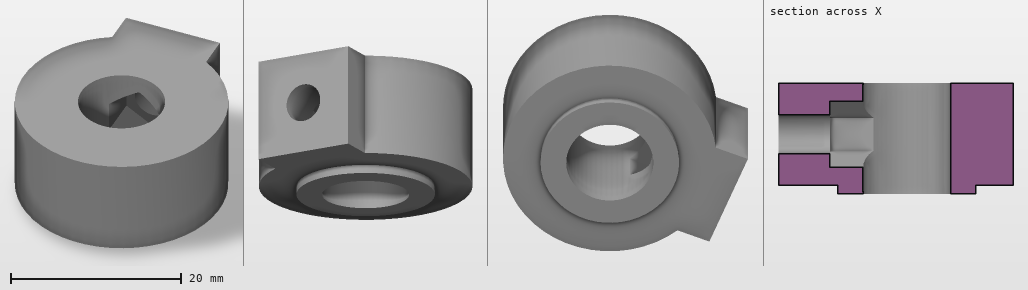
import cadquery as cq
import math

body_diameter = 25.0
body_height = 12.0
bore_diameter = 10.2

shoulder_diameter = 16.2
shoulder_height = 1.0

tab_width = 12.0
tab_reach = 15.0

nut_corner_diameter = 7.66
nut_pocket_reach = 9.0
screw_hole_diameter = 4.5
screw_height = body_height / 2


def make_body():
    collar = cq.Workplane("XY").circle(body_diameter / 2).extrude(body_height)
    tab = cq.Workplane("XY").box(tab_width, tab_reach, body_height, centered=(True, False, False))
    shoulder = cq.Workplane("XY").circle(shoulder_diameter / 2).extrude(-shoulder_height)
    return collar.union(tab).union(shoulder)


def make_bore():
    total_height = body_height + shoulder_height
    return (
        cq.Workplane("XY")
        .workplane(offset=-shoulder_height)
        .circle(bore_diameter / 2)
        .extrude(total_height)
    )


def screw_plane():
    """XZ plane through the bore axis at screw height, with its normal along -Y."""
    return cq.Workplane("XZ", origin=(0, 0, screw_height))


def make_nut_pocket():
    """Hexagonal prism with one corner pointing up and two flats facing +X and -X."""
    corner_radius = nut_corner_diameter / 2
    corners = []
    for index in range(6):
        angle = math.radians(90 + 60 * index)
        corners.append((corner_radius * math.cos(angle), corner_radius * math.sin(angle)))
    return screw_plane().polyline(corners).close().extrude(-nut_pocket_reach)


def make_screw_hole():
    return screw_plane().circle(screw_hole_diameter / 2).extrude(-tab_reach)


result = make_body().cut(make_bore()).cut(make_nut_pocket()).cut(make_screw_hole())